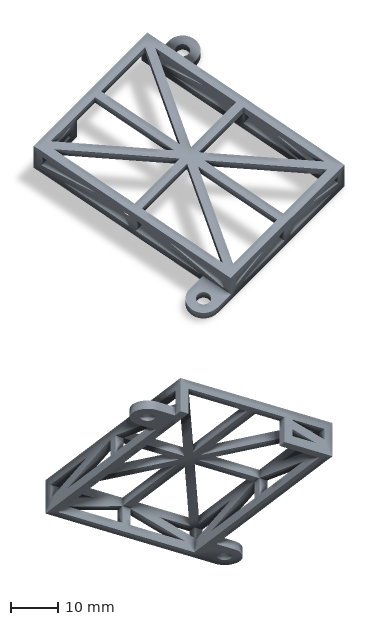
import cadquery as cq
import math

length = 54.0
overall_width = 54.5
frame_width = 38.0
height = 8.0

bar = 2.0
brace_apex_z = 7.3
long_brace_foot_z = 1.15
short_brace_foot_z = 1.85
panel_width = 11.95

ear_width = 7.65
ear_hole_diameter = 3.15
rear_ear_inset = 2.2

strip_width = 1.1
strip_thickness = 0.05

half_length = length / 2
half_width = frame_width / 2
ear_radius = ear_width / 2
ear_length = (overall_width - frame_width) / 2


def beam(start, end):
    """Flat bar in the XY plane, one bar thick, centred on the line from start to end."""
    run = end[0] - start[0]
    rise = end[1] - start[1]
    return (
        cq.Workplane("XY")
        .rect(math.hypot(run, rise), bar)
        .extrude(bar)
        .rotate((0, 0, 0), (0, 0, 1), math.degrees(math.atan2(rise, run)))
        .translate(((start[0] + end[0]) / 2, (start[1] + end[1]) / 2, 0))
    )


def rim(size_x, size_y):
    """Rectangular rim centred on the origin, one bar wide and thick."""
    return (
        cq.Workplane("XY")
        .rect(size_x, size_y)
        .rect(size_x - 2 * bar, size_y - 2 * bar)
        .extrude(bar)
    )


def make_deck():
    """Top lattice: rim, centre cross and two diagonals between the inner corners."""
    corner_x = half_length - bar
    corner_y = half_width - bar
    deck = rim(length, frame_width)
    deck = deck.union(beam((-corner_x, 0), (corner_x, 0)))
    deck = deck.union(beam((0, -corner_y), (0, corner_y)))
    for side in (-1, 1):
        deck = deck.union(beam((-corner_x, -side * corner_y), (corner_x, side * corner_y)))
    return deck.translate((0, 0, height - bar))


def make_wall(span, foot_z):
    """Upright wall along X with its outer face on y = 0 and its thickness toward +Y."""
    middle = height / 2
    wall = rim(span, height).union(beam((0, -middle), (0, middle)))
    for side in (-1, 1):
        foot = (side * span / 2, foot_z - middle)
        apex = (0, brace_apex_z - middle)
        wall = wall.union(beam(foot, apex))
    outline = cq.Workplane("XY").rect(span, height).extrude(bar)
    wall = wall.intersect(outline)
    return wall.rotate((0, 0, 0), (1, 0, 0), 90).translate((0, bar, middle))


def make_opened_wall():
    """Short wall cut away below its top rail, leaving a corner post and a braced panel."""
    opening_start = -half_width + bar
    opening_end = half_width - panel_width
    opening_width = opening_end - opening_start
    opening = (
        cq.Workplane("XY")
        .box(opening_width, bar, height - bar, centered=False)
        .translate((opening_start, 0, 0))
    )
    stile = (
        cq.Workplane("XY")
        .box(bar, bar, height, centered=False)
        .translate((opening_end, 0, 0))
    )
    return make_wall(frame_width, short_brace_foot_z).cut(opening).union(stile)


def make_ear():
    """Round-ended ear pointing to +Y from y = 0, centred on x = 0."""
    hole_y = ear_length - ear_radius
    return (
        cq.Workplane("XY")
        .moveTo(-ear_radius, 0)
        .lineTo(ear_radius, 0)
        .lineTo(ear_radius, hole_y)
        .threePointArc((0, ear_length), (-ear_radius, hole_y))
        .close()
        .moveTo(0, hole_y)
        .circle(ear_hole_diameter / 2)
        .extrude(bar)
    )


def turn(shape, angle):
    """Rotate a shape about the Z axis."""
    return shape.rotate((0, 0, 0), (0, 0, 1), angle)


def make_frame():
    """Deck, four walls and two ears as one solid."""
    long_wall = make_wall(length, long_brace_foot_z).translate((0, -half_width, 0))
    short_wall = make_wall(frame_width, short_brace_foot_z).translate((0, -half_length, 0))
    opened_wall = make_opened_wall().translate((0, -half_length, 0))
    frame = make_deck().union(long_wall).union(turn(long_wall, 180))
    frame = frame.union(turn(short_wall, 90)).union(turn(opened_wall, -90))

    rear_ear_x = -half_length + rear_ear_inset + ear_radius
    front_ear_x = half_length - ear_radius
    rear_ear = make_ear().translate((rear_ear_x, half_width, 0))
    front_ear = turn(make_ear(), 180).translate((front_ear_x, -half_width, 0))
    return frame.union(rear_ear).union(front_ear)


def make_corner_strip():
    """Thin full-height strip lying on the -Y face, flush with the -X face."""
    return (
        cq.Workplane("XY")
        .box(strip_width, strip_thickness, height, centered=False)
        .translate((-half_length, -half_width - strip_thickness, 0))
    )


frame = make_frame()
corner_strip = make_corner_strip()

result = cq.Compound.makeCompound([frame.solids().val(), corner_strip.val()])